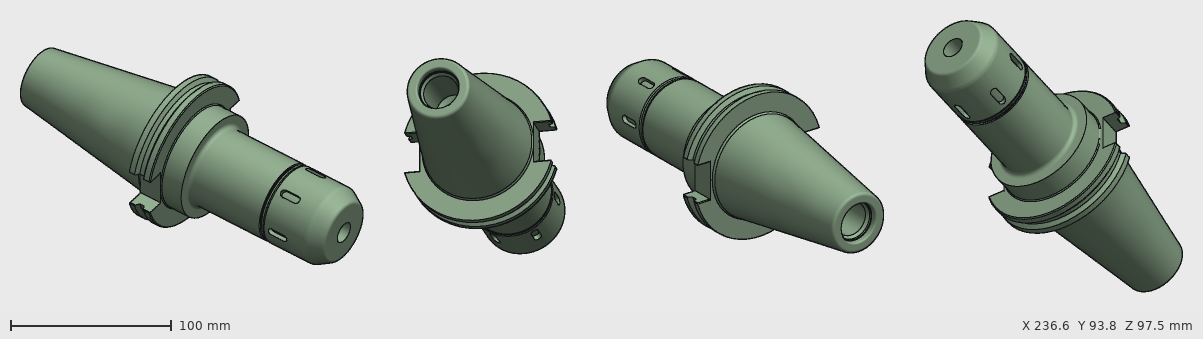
import cadquery as cq
import math


LENGTH = 236.6
CHUCK_DIAMETER = 53.0
COOLANT_DIAMETER = 13.7
NECK_END = 190.7

GAGE_DIAMETER = 69.8
GAGE_POSITION = 103.0
TAPER_RATIO = 7 / 24
SMALL_END_DIAMETER = GAGE_DIAMETER - GAGE_POSITION * TAPER_RATIO
SMALL_END_FILLET = 2.1
GAGE_LAND = 0.7
FLANGE_ROOT_DIAMETER = 71.5

FLANGE_DIAMETER = 97.5
FLANGE_START = 105.3
FLANGE_WIDTH = 15.9
FLANGE_END = FLANGE_START + FLANGE_WIDTH
FLANGE_CHAMFER = 0.7
V_CENTER = 112.9
V_MOUTH_WIDTH = 7.0
V_FLOOR_WIDTH = 3.3
V_FLOOR_DIAMETER = 91.5
DRIVE_SLOT_WIDTH = 25.5
DRIVE_SLOT_CHAMFER = 0.6
DEEP_SLOT_FLOOR = 37.1
SHALLOW_SLOT_FLOOR = 35.5

COLLAR_DIAMETER = 70.3
COLLAR_END = 136.8
COLLAR_FILLET = 0.7
NECK_FILLET = 2.8

SOCKET_DIAMETER = 26.3
SOCKET_DEPTH = 4.5
SOCKET_FILLET = 1.2
RELIEF_DIAMETER = 25.0
RELIEF_DEPTH = 6.0
DRILL_DIAMETER = 22.2
DRILL_START = 8.3
DRILL_DEPTH = 42.5
DRILL_POINT_ANGLE = 118.0

NUT_GAP_DIAMETER = 50.6
NUT_GAP_WIDTH = 1.0
NUT_LEAD_DIAMETER = 52.0
NUT_LEAD_WIDTH = 1.7
NUT_CHAMFER_LENGTH = 1.2
NOSE_START = 226.5
NOSE_ANGLE = 30.0
NOSE_SHOULDER_FILLET = 5.2
NOSE_TIP_FILLET = 2.4

SPANNER_SLOT_COUNT = 6
SPANNER_SLOT_LENGTH = 14.2
SPANNER_SLOT_WIDTH = 5.0
SPANNER_SLOT_CENTER = 205.0
SPANNER_FLOOR_DIAMETER = 46.5


def turned(profile):
    """Revolve (position along X, diameter) pairs around the X axis."""
    points = [(x, diameter / 2) for x, diameter in profile]
    return cq.Workplane("XY").polyline(points).close().revolve(360, (0, 0, 0), (1, 0, 0))


def circle_at(x, diameter):
    """Selector for the circular edge of this diameter at position x on the axis."""
    margin = 0.02
    half = diameter / 2 + margin
    return cq.selectors.BoxSelector((x - margin, -half, -half), (x + margin, half, half), boundingbox=True)


def socket_bore():
    point_length = (DRILL_DIAMETER - COOLANT_DIAMETER) / 2 / math.tan(math.radians(DRILL_POINT_ANGLE / 2))
    return turned([
        (0, 0),
        (0, SOCKET_DIAMETER),
        (SOCKET_DEPTH, SOCKET_DIAMETER),
        (SOCKET_DEPTH, RELIEF_DIAMETER),
        (RELIEF_DEPTH, RELIEF_DIAMETER),
        (DRILL_START, DRILL_DIAMETER),
        (DRILL_DEPTH, DRILL_DIAMETER),
        (DRILL_DEPTH + point_length, COOLANT_DIAMETER),
        (NECK_END, COOLANT_DIAMETER),
        (NECK_END, 0),
    ])


def v_groove():
    return turned([
        (V_CENTER - V_MOUTH_WIDTH / 2, FLANGE_DIAMETER),
        (V_CENTER - V_FLOOR_WIDTH / 2, V_FLOOR_DIAMETER),
        (V_CENTER + V_FLOOR_WIDTH / 2, V_FLOOR_DIAMETER),
        (V_CENTER + V_MOUTH_WIDTH / 2, FLANGE_DIAMETER),
    ])


def drive_slot(side, floor):
    """Slot across the flange on the +Y (side = 1) or -Y (side = -1) side."""
    depth = FLANGE_DIAMETER / 2 - floor
    middle_y = side * (floor + depth / 2)
    plane = cq.Workplane("YZ", origin=(FLANGE_START, middle_y, 0))
    return plane.rect(depth, DRIVE_SLOT_WIDTH).extrude(FLANGE_WIDTH)


def drive_slot_rims():
    """Selector for the slot wall edges on the rim and on the -X face of the flange."""
    half_width = DRIVE_SLOT_WIDTH / 2
    rim_y = math.sqrt((FLANGE_DIAMETER / 2) ** 2 - half_width**2)
    selector = None
    for side, floor in ((1, DEEP_SLOT_FLOOR), (-1, SHALLOW_SLOT_FLOOR)):
        for z in (-half_width, half_width):
            rim_edge = cq.selectors.NearestToPointSelector((FLANGE_START + FLANGE_WIDTH / 2, side * rim_y, z))
            face_edge = cq.selectors.NearestToPointSelector((FLANGE_START, side * (floor + rim_y) / 2, z))
            pair = rim_edge + face_edge
            selector = pair if selector is None else selector + pair
    return selector


def make_holder():
    body = turned([
        (0, 0),
        (0, SMALL_END_DIAMETER),
        (GAGE_POSITION, GAGE_DIAMETER),
        (GAGE_POSITION + GAGE_LAND, GAGE_DIAMETER),
        (FLANGE_START, FLANGE_ROOT_DIAMETER),
        (FLANGE_START, FLANGE_DIAMETER),
        (FLANGE_END, FLANGE_DIAMETER),
        (FLANGE_END, COLLAR_DIAMETER),
        (COLLAR_END, COLLAR_DIAMETER),
        (COLLAR_END, CHUCK_DIAMETER),
        (NECK_END, CHUCK_DIAMETER),
        (NECK_END, 0),
    ])
    body = body.edges(circle_at(0, SMALL_END_DIAMETER)).fillet(SMALL_END_FILLET)
    body = body.edges(circle_at(FLANGE_END, COLLAR_DIAMETER)).fillet(COLLAR_FILLET)
    body = body.edges(circle_at(COLLAR_END, CHUCK_DIAMETER)).fillet(NECK_FILLET)
    body = body.edges(circle_at(FLANGE_END, FLANGE_DIAMETER)).chamfer(FLANGE_CHAMFER)
    body = body.cut(socket_bore())
    body = body.edges(circle_at(0, SOCKET_DIAMETER)).fillet(SOCKET_FILLET)
    for side, floor in ((1, DEEP_SLOT_FLOOR), (-1, SHALLOW_SLOT_FLOOR)):
        body = body.cut(drive_slot(side, floor))
    body = body.edges(drive_slot_rims()).chamfer(DRIVE_SLOT_CHAMFER)
    body = body.cut(v_groove())
    return body


def spanner_slot():
    """Slot pocket on the +Z side, ending at the cylindrical slot floor."""
    pocket = (
        cq.Workplane("XY", origin=(SPANNER_SLOT_CENTER, 0, 0))
        .slot2D(SPANNER_SLOT_LENGTH, SPANNER_SLOT_WIDTH)
        .extrude(CHUCK_DIAMETER)
    )
    core = cq.Workplane("YZ").circle(SPANNER_FLOOR_DIAMETER / 2).extrude(LENGTH)
    return pocket.cut(core)


def make_nut():
    lead_start = NECK_END + NUT_GAP_WIDTH
    lead_end = lead_start + NUT_LEAD_WIDTH
    tip_diameter = CHUCK_DIAMETER - 2 * (LENGTH - NOSE_START) * math.tan(math.radians(NOSE_ANGLE))
    body = turned([
        (NECK_END, COOLANT_DIAMETER),
        (NECK_END, NUT_GAP_DIAMETER),
        (lead_start, NUT_GAP_DIAMETER),
        (lead_start, NUT_LEAD_DIAMETER),
        (lead_end, NUT_LEAD_DIAMETER),
        (lead_end + NUT_CHAMFER_LENGTH, CHUCK_DIAMETER),
        (NOSE_START, CHUCK_DIAMETER),
        (LENGTH, tip_diameter),
        (LENGTH, COOLANT_DIAMETER),
    ])
    body = body.edges(circle_at(NOSE_START, CHUCK_DIAMETER)).fillet(NOSE_SHOULDER_FILLET)
    body = body.faces(">X").edges(cq.selectors.RadiusNthSelector(-1)).fillet(NOSE_TIP_FILLET)
    step = 360 / SPANNER_SLOT_COUNT
    for index in range(SPANNER_SLOT_COUNT):
        angle = (index + 0.5) * step
        body = body.cut(spanner_slot().rotate((0, 0, 0), (1, 0, 0), angle))
    return body


holder = make_holder()
nut = make_nut()

result = cq.Compound.makeCompound([holder.val(), nut.val()])